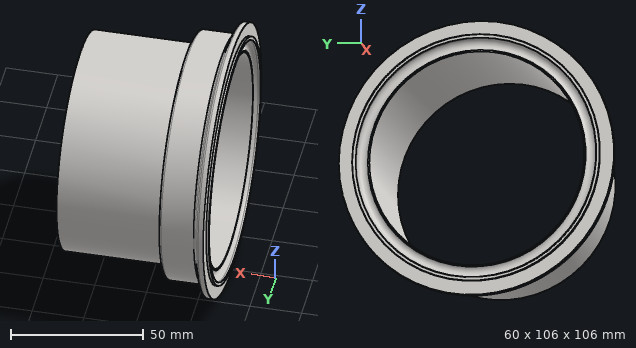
import cadquery as cq

total_length = 60.0
lip_height = 1.0
flange_back = 3.6
collar_end = 19.2

flange_radius = 53.0
collar_radius = 48.0
lip_radius = 47.7
tube_radius = 42.4
bore_radius = 41.3

taper_height = 5.0
taper_length = 1.5
rim_fillet = 0.7
root_fillet = 0.8

collar_fillet = 0.7
bead_size = 0.8

groove_outer_radius = 46.3
groove_inner_radius = 42.0
groove_outer_edge = 1.0
land_position = 1.9
groove_sagitta = 1.5


def body_profile():
    """Closed half section, with X along the axis and Y as the radius."""
    return (
        cq.Workplane("XY")
        .moveTo(land_position, bore_radius)
        .lineTo(land_position, groove_inner_radius)
        .sagittaArc((groove_outer_edge, groove_outer_radius), -groove_sagitta)
        .lineTo(0, groove_outer_radius)
        .lineTo(0, lip_radius)
        .lineTo(lip_height, lip_radius)
        .lineTo(lip_height, flange_radius)
        .lineTo(flange_back, flange_radius)
        .lineTo(flange_back + taper_length, flange_radius - taper_height)
        .lineTo(collar_end, collar_radius)
        .lineTo(collar_end, tube_radius + bead_size)
        .lineTo(collar_end + bead_size, tube_radius)
        .lineTo(total_length, tube_radius)
        .lineTo(total_length, bore_radius)
        .close()
    )


def round_edge(body, position, radius, fillet):
    """Round the circular edge at the given axial position and radius."""
    margin = 0.1
    edges = cq.selectors.BoxSelector(
        (position - margin, -radius - margin, -radius - margin),
        (position + margin, radius + margin, radius + margin),
        boundingbox=True,
    )
    outer_edges = body.edges(edges).edges("%CIRCLE").edges(cq.selectors.RadiusNthSelector(-1))
    return outer_edges.fillet(fillet)


body = body_profile().revolve(360, (0, 0, 0), (1, 0, 0))
body = round_edge(body, flange_back, flange_radius, rim_fillet)
body = round_edge(body, flange_back + taper_length, collar_radius, root_fillet)
result = round_edge(body, collar_end, collar_radius, collar_fillet)